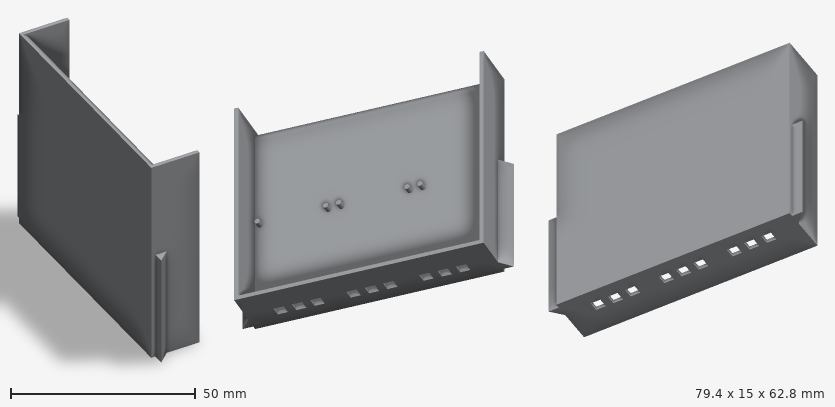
import cadquery as cq
import math

shell_width = 73.0
shell_depth = 15.0
shell_height = 62.75
wall = 1.2
floor_thickness = wall
inner_width = shell_width - 2 * wall

panel_thickness = 3.0
panel_round = 3.5
round_axis_y = panel_thickness - panel_round
round_drop = math.sqrt(panel_round**2 - round_axis_y**2)

hole_size = 2.98
hole_pitch = 5.38
hole_group_pitch = 21.3
hole_centre_y = 5.7

peg_diameter = 1.5
peg_length = 2.2
peg_height = shell_height / 2
peg_spacing = 20.0
peg_bay_pitch = 23.8

overall_width = 79.4
rail_depth = 3.5
rail_front_y = 1.3
rail_height = 33.6


def centred_row(pitch, count):
    """Positions of equally spaced items centred on zero."""
    return [(index - (count - 1) / 2) * pitch for index in range(count)]


def make_panel():
    """Front panel with its top edge rounded down towards the inside."""
    return (
        cq.Workplane("YZ", origin=(-inner_width / 2, 0, 0))
        .lineTo(panel_thickness, 0)
        .lineTo(panel_thickness, shell_height - round_drop)
        .radiusArc((0, shell_height), -panel_round)
        .close()
        .extrude(inner_width)
    )


def make_side_wall(side):
    """Side wall on the left (side = -1) or on the right (side = 1)."""
    centre_x = side * (shell_width - wall) / 2
    return cq.Workplane("XY").center(centre_x, shell_depth / 2).rect(wall, shell_depth).extrude(shell_height)


def make_floor():
    """Floor plate with three groups of three square holes."""
    plate = cq.Workplane("XY").center(0, shell_depth / 2).rect(inner_width, shell_depth).extrude(floor_thickness)
    hole_centres = [
        (group_x + column_x, hole_centre_y)
        for group_x in centred_row(hole_group_pitch, 3)
        for column_x in centred_row(hole_pitch, 3)
    ]
    holes = cq.Workplane("XY").pushPoints(hole_centres).rect(hole_size, hole_size).extrude(floor_thickness)
    return plate.cut(holes)


def make_peg(centre_x):
    """Round peg that stands on the inner face of the front panel."""
    base_plane = cq.Plane(
        origin=(centre_x, panel_thickness, peg_height),
        xDir=(0, 0, 1),
        normal=(0, 1, 0),
    )
    return cq.Workplane(base_plane).circle(peg_diameter / 2).extrude(peg_length)


def make_housing():
    """Front panel, floor, side walls and pegs as one solid."""
    body = make_panel().union(make_floor())
    for side in (-1, 1):
        body = body.union(make_side_wall(side))
    for bay_x in centred_row(peg_bay_pitch, 3):
        for peg_x in centred_row(peg_spacing, 2):
            body = body.union(make_peg(bay_x + peg_x))
    return body


def make_rail(side):
    """Triangular rail with a flat front, tapering back to the side wall."""
    wall_x = side * shell_width / 2
    tip_x = side * overall_width / 2
    return (
        cq.Workplane("XY")
        .moveTo(wall_x, rail_front_y)
        .lineTo(tip_x, rail_front_y)
        .lineTo(wall_x, rail_front_y + rail_depth)
        .close()
        .extrude(rail_height)
    )


housing = make_housing()
rails = [make_rail(side) for side in (-1, 1)]

result = cq.Compound.makeCompound([housing.val(), *[rail.val() for rail in rails]])